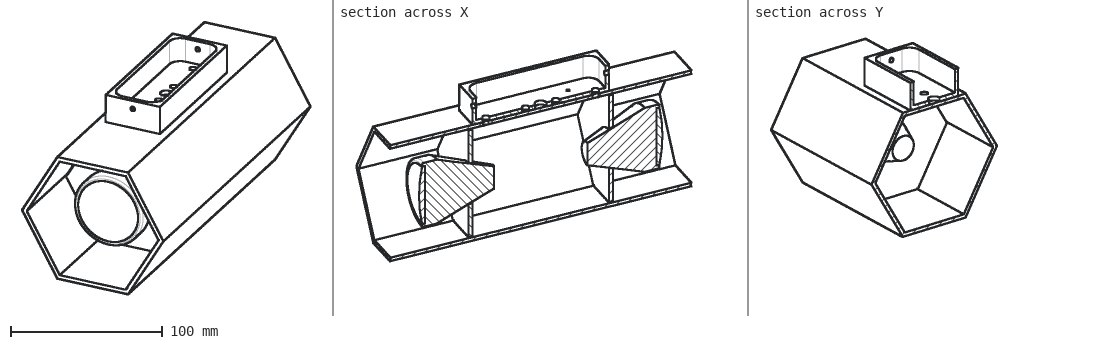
import cadquery as cq
import math

TUBE_LENGTH = 220.0
TUBE_ACROSS_FLATS = 90.0
TUBE_WALL = 3.0
TUBE_TOP = TUBE_ACROSS_FLATS / 2

BOX_WIDTH = 39.8
BOX_LENGTH = 100.0
BOX_HEIGHT = 20.0
BOX_WALL = 3.0
BOX_FLOOR = 3.0
BOX_CORNER_RADIUS = 8.0
END_HOLE_DIAMETER = 3.0
END_HOLE_DROP = 6.0

CABLE_HOLE_DIAMETER = 8.0
FIXING_HOLE_DIAMETER = 4.8
FIXING_HOLE_PITCH = 22.0
FIXING_POINTS = [(0, side * FIXING_HOLE_PITCH / 2) for side in (-1, 1)]
PILOT_HOLE_DIAMETER = 2.0
PILOT_HOLE_PITCH = 15.0
PILOT_HOLE_Y = -23.3

PIN_PITCH = 80.0
PIN_DIAMETER = 3.7
PIN_DOME_RISE = 0.5
PIN_POINTS = [(0, side * PIN_PITCH / 2) for side in (-1, 1)]

LAMP_SETBACK = 23.0
LAMP_FRONT_Y = -TUBE_LENGTH / 2 + LAMP_SETBACK
LAMP_DIAMETER = 50.0
LAMP_LENGTH = 52.8
LAMP_BACK_DIAMETER = 17.5
LAMP_RIM_LENGTH = 11.0
LAMP_RIM_FILLET = 1.5
LENS_DIAMETER = 44.0
LENS_DEPTH = 2.2
LENS_RISE = 2.2
PLATE_SETBACK = 57.2
PLATE_THICKNESS = 3.0
PLATE_GAP = 0.5


def hexagon_bar(across_flats, length, start_y):
    """Hexagonal bar along +Y from start_y."""
    across_corners = across_flats * 2 / math.sqrt(3)
    return (
        cq.Workplane("XZ", origin=(0, start_y, 0))
        .polygon(6, across_corners)
        .extrude(-length)
    )


def dome_radius(base_radius, rise):
    """Radius of the sphere whose cap has this base radius and rise."""
    return (base_radius**2 + rise**2) / (2 * rise)


def make_tube():
    """Hexagonal tube with a hole in its top for each pin."""
    bore_across_flats = TUBE_ACROSS_FLATS - 2 * TUBE_WALL
    tube = hexagon_bar(TUBE_ACROSS_FLATS, TUBE_LENGTH, -TUBE_LENGTH / 2)
    tube = tube.cut(hexagon_bar(bore_across_flats, TUBE_LENGTH, -TUBE_LENGTH / 2))
    pin_holes = (
        cq.Workplane("XY", origin=(0, 0, TUBE_TOP - TUBE_WALL))
        .pushPoints(PIN_POINTS)
        .circle(PIN_DIAMETER / 2)
        .extrude(TUBE_WALL)
    )
    return tube.cut(pin_holes)


def make_box():
    """Open-topped box with holes in its floor and two end walls."""
    floor_plane = cq.Workplane("XY", origin=(0, 0, TUBE_TOP))
    box = floor_plane.rect(BOX_WIDTH, BOX_LENGTH).extrude(BOX_HEIGHT)
    pocket = (
        floor_plane.workplane(offset=BOX_FLOOR)
        .rect(BOX_WIDTH - 2 * BOX_WALL, BOX_LENGTH - 2 * BOX_WALL)
        .extrude(BOX_HEIGHT - BOX_FLOOR)
        .edges("|Z")
        .fillet(BOX_CORNER_RADIUS)
    )
    cable_hole = floor_plane.circle(CABLE_HOLE_DIAMETER / 2).extrude(BOX_FLOOR)
    fixing_holes = (
        floor_plane.pushPoints(FIXING_POINTS + PIN_POINTS)
        .circle(FIXING_HOLE_DIAMETER / 2)
        .extrude(BOX_FLOOR)
    )
    pilot_holes = (
        floor_plane.center(0, PILOT_HOLE_Y)
        .rarray(PILOT_HOLE_PITCH, 2.2, 2, 1)
        .circle(PILOT_HOLE_DIAMETER / 2)
        .extrude(BOX_FLOOR)
    )
    end_holes = (
        cq.Workplane("XZ", origin=(0, BOX_LENGTH / 2, TUBE_TOP + BOX_HEIGHT - END_HOLE_DROP))
        .circle(END_HOLE_DIAMETER / 2)
        .extrude(BOX_LENGTH)
    )
    for cutter in (pocket, cable_hole, fixing_holes, pilot_holes, end_holes):
        box = box.cut(cutter)
    return box


def make_pin(x, y):
    """Pin set in the tube wall, its domed end rising into the box floor."""
    radius = PIN_DIAMETER / 2
    profile = (
        cq.Workplane("XZ")
        .moveTo(0, TUBE_TOP - TUBE_WALL)
        .lineTo(radius, TUBE_TOP - TUBE_WALL)
        .lineTo(radius, TUBE_TOP)
        .radiusArc((0, TUBE_TOP + PIN_DOME_RISE), -dome_radius(radius, PIN_DOME_RISE))
        .close()
    )
    return profile.revolve(360, (0, 0), (0, 1)).translate((x, y, 0))


def make_lamp():
    """Lamp body at the -Y end, with a rounded rim, a lens recess and a tapered back."""
    radius = LAMP_DIAMETER / 2
    back_y = LAMP_FRONT_Y + LAMP_LENGTH
    profile = (
        cq.Workplane("XY")
        .moveTo(0, LAMP_FRONT_Y + LENS_DEPTH)
        .lineTo(LENS_DIAMETER / 2, LAMP_FRONT_Y + LENS_DEPTH)
        .lineTo(LENS_DIAMETER / 2, LAMP_FRONT_Y)
        .lineTo(radius - LAMP_RIM_FILLET, LAMP_FRONT_Y)
        .radiusArc((radius, LAMP_FRONT_Y + LAMP_RIM_FILLET), -LAMP_RIM_FILLET)
        .lineTo(radius, LAMP_FRONT_Y + LAMP_RIM_LENGTH)
        .lineTo(LAMP_BACK_DIAMETER / 2, back_y)
        .lineTo(0, back_y)
        .close()
    )
    return profile.revolve(360, (0, 0), (0, 1))


def make_lens():
    """Domed lens that fills the recess in the lamp."""
    profile = (
        cq.Workplane("XY")
        .moveTo(0, LAMP_FRONT_Y + LENS_DEPTH)
        .lineTo(LENS_DIAMETER / 2, LAMP_FRONT_Y + LENS_DEPTH)
        .lineTo(LENS_DIAMETER / 2, LAMP_FRONT_Y)
        .radiusArc((0, LAMP_FRONT_Y - LENS_RISE), dome_radius(LENS_DIAMETER / 2, LENS_RISE))
        .close()
    )
    return profile.revolve(360, (0, 0), (0, 1))


def make_plate(lamp):
    """Hexagonal plate with a small gap to the tube and an opening that fits the lamp."""
    across_flats = TUBE_ACROSS_FLATS - 2 * TUBE_WALL - 2 * PLATE_GAP
    plate = hexagon_bar(across_flats, PLATE_THICKNESS, -TUBE_LENGTH / 2 + PLATE_SETBACK)
    return plate.cut(lamp)


tube = make_tube()
box = make_box()
lamp = make_lamp()
end_parts = [lamp, make_lens(), make_plate(lamp)]

solids = [tube.val(), box.val()]
solids += [make_pin(x, y).val() for x, y in PIN_POINTS]
for turn in (0, 180):
    solids += [part.rotate((0, 0, 0), (0, 0, 1), turn).val() for part in end_parts]

result = cq.Compound.makeCompound(solids)